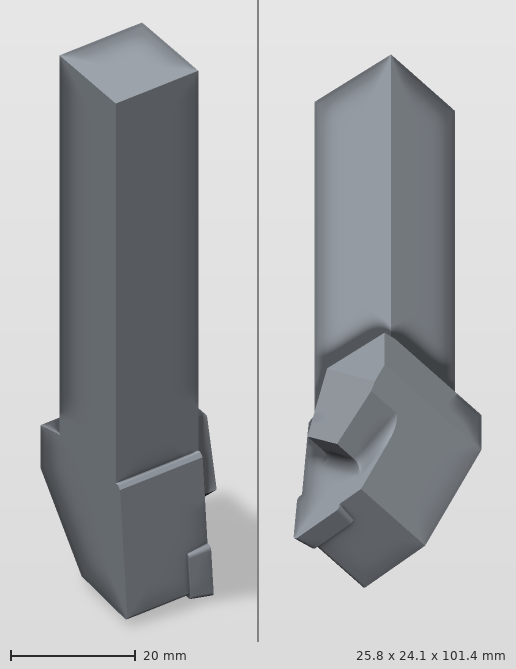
import cadquery as cq
import math

total_height = 101.4
total_width = 25.8
head_depth = 24.1

shank_side = 16.0
shank_left = 5.5
shank_right = shank_left + shank_side

shoulder_z = 26.4
shoulder_ledge = 0.6
shoulder_angle = 15.0
head_left_bottom_z = 16.7
heel_x = 11.8
heel_z = 2.2
toe_x = 24.8
toe_radius = 0.6
edge_angle = 5.0
right_shoulder_x = 22.7
right_shoulder_z = 25.7

floor_y = shank_side
finger_low_x = 11.8
finger_low_z = 7.9
finger_high_x = 17.9
finger_flank_angle = 30.0
finger_flank_length = 30.4
finger_fillet = 1.7
finger_end_y = 22.0
finger_fall_length = 11.4

insert_circle = 9.5
insert_corner_angle = 90.0 - 2 * edge_angle
insert_thickness = 4.0
insert_clearance = 7.0
nose_radius = 0.8

margin = 50.7
selection_gap = 0.1


def cos(angle):
    return math.cos(math.radians(angle))


def sin(angle):
    return math.sin(math.radians(angle))


def tan(angle):
    return math.tan(math.radians(angle))


def extrude_profile(points, start_y, end_y):
    """Prism with an X-Z outline, running from start_y to end_y."""
    plane = cq.Workplane("XZ", origin=(0, start_y, 0))
    return plane.polyline(points).close().extrude(start_y - end_y)


def make_head_prism():
    slope_start_x = shank_left - shoulder_ledge
    outline = [
        (slope_start_x, shoulder_z),
        (0, shoulder_z - slope_start_x * tan(shoulder_angle)),
        (0, head_left_bottom_z),
        (heel_x, heel_z),
        (toe_x, heel_z - (toe_x - heel_x) * tan(edge_angle)),
        (right_shoulder_x, right_shoulder_z),
        (shank_right + shoulder_ledge, shoulder_z),
    ]
    toe = cq.selectors.BoxSelector((toe_x - toe_radius, 0, 0), (toe_x + toe_radius, head_depth, heel_z))
    prism = extrude_profile(outline, 0, head_depth)
    return prism.edges("|Y").edges(toe).fillet(toe_radius)


def make_rear_slope_cutter():
    """Wedge above the shoulder slope on the rear side."""
    slope_start_y = shank_side + shoulder_ledge
    fall = (head_depth - slope_start_y) * tan(shoulder_angle)
    wedge = [
        (slope_start_y, shoulder_z),
        (head_depth, shoulder_z - fall),
        (head_depth, shoulder_z),
    ]
    return cq.Workplane("YZ").polyline(wedge).close().extrude(total_width)


def make_finger_fall_cutter():
    """Wedge behind the finger face that falls toward the insert."""
    finger_end = cq.Plane(
        origin=(finger_low_x, 0, finger_low_z), xDir=(1, 0, -1), normal=(1, 0, 1)
    )
    fall = [
        (-finger_fall_length, head_depth),
        (0, finger_end_y),
        (0, head_depth),
    ]
    return cq.Workplane(finger_end).polyline(fall).close().extrude(margin, both=True)


def make_finger_envelope():
    """Flat chip floor with the raised finger filleted onto it."""
    end_rise = finger_high_x - finger_low_x
    finger_high_z = finger_low_z + end_rise
    run = finger_flank_length * cos(finger_flank_angle)
    rise = finger_flank_length * sin(finger_flank_angle)
    outline = [
        (finger_low_x, finger_low_z),
        (finger_high_x, finger_high_z),
        (finger_high_x - rise, finger_high_z + run),
        (finger_low_x - run, finger_low_z + rise),
    ]
    slab = cq.Workplane("XY").box(
        2 * margin, floor_y, 2 * margin, centered=(True, False, True)
    )
    finger = extrude_profile(outline, floor_y, head_depth)
    floor_edges = cq.selectors.BoxSelector(
        (-margin / 2, floor_y - selection_gap, -margin / 2),
        (margin / 2, floor_y + selection_gap, margin),
    )
    return slab.union(finger).edges(floor_edges).fillet(finger_fillet)


def make_insert():
    """Rhombic insert with its face on the chip floor plane, tapering toward -Y."""
    edge = insert_circle / sin(insert_corner_angle)
    corner_offset = nose_radius / sin(insert_corner_angle / 2) * cos(45)
    corner_x = total_width - nose_radius + corner_offset
    corner_z = nose_radius - corner_offset
    along = edge * cos(edge_angle)
    across = edge * sin(edge_angle)
    rhombus = [
        (corner_x, corner_z),
        (corner_x - across, corner_z + along),
        (corner_x - across - along, corner_z + along + across),
        (corner_x - along, corner_z + across),
    ]
    plane = cq.Workplane("XZ", origin=(0, floor_y, 0))
    blank = plane.polyline(rhombus).close().extrude(insert_thickness, taper=insert_clearance)
    return blank.edges("not #Y").fillet(nose_radius)


def make_holder(insert):
    shank = cq.Workplane("XY", origin=(shank_left, 0, shoulder_z)).box(
        shank_side, shank_side, total_height - shoulder_z, centered=False
    )
    head = make_head_prism().cut(make_rear_slope_cutter())
    head = head.intersect(make_finger_envelope()).cut(make_finger_fall_cutter())
    return head.union(shank).cut(insert)


insert = make_insert()
holder = make_holder(insert)

result = cq.Compound.makeCompound([holder.val(), insert.val()])